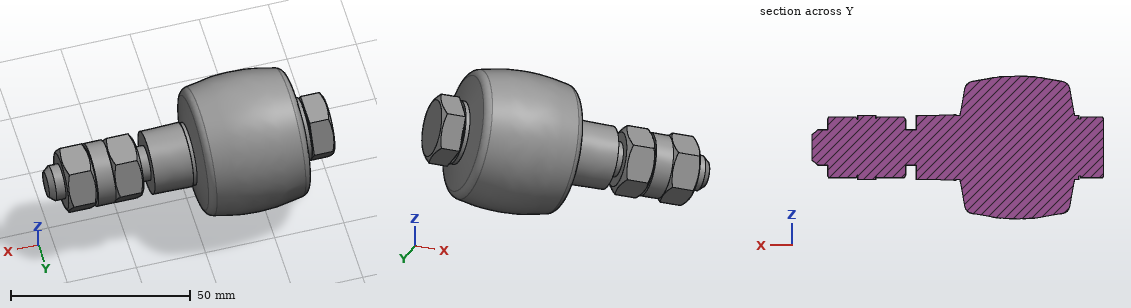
import cadquery as cq
import math


total_length = 81.4
shaft_dia = 10.0
tip_dia = 7.25
tip_chamfer_length = 1.7

across_flats = 17.0
hex_face_dia = 16.0
nut_near_face_dia = 15.5
hex_chamfer_angle = 30.0
head_height = 6.4
nut_height = 8.4

bearing_face_length = 0.45
collar_dia = 18.0
washer_thickness = 5.05

roller_start = 8.05
roller_width = 32.1
roller_crown_dia = 40.0
roller_rim_dia = 36.0
roller_rim_fillet = 2.5
roller_side_angle = 10.0

sleeve_start = 41.2
sleeve_length = 11.15
sleeve_taper_angle = 1.2

first_nut_start = 55.2
washer_start = first_nut_start + nut_height
second_nut_start = washer_start + washer_thickness


def rise(run, angle):
    """Side opposite the angle (degrees) in a right triangle with the given adjacent side."""
    return run * math.tan(math.radians(angle))


def disc(start, length, diameter):
    """Cylinder on the X axis."""
    return cq.Workplane("YZ", origin=(start, 0, 0)).circle(diameter / 2).extrude(length)


def revolve_about_x(profile):
    """Turn an outline drawn in the XY plane around the X axis."""
    return profile.close().revolve(360, (0, 0, 0), (1, 0, 0))


def chamfer_cone(face_position, direction, face_dia, height):
    """Solid widening from a hexagon's end face; direction is +1 or -1 along X, into the hexagon."""
    face_radius = face_dia / 2
    outer_radius = across_flats
    cone_length = rise(outer_radius - face_radius, hex_chamfer_angle)
    cone_end = face_position + direction * cone_length
    envelope_end = cone_end + direction * height
    profile = (
        cq.Workplane("XY")
        .moveTo(face_position, 0)
        .lineTo(face_position, face_radius)
        .lineTo(cone_end, outer_radius)
        .lineTo(envelope_end, outer_radius)
        .lineTo(envelope_end, 0)
    )
    return revolve_about_x(profile)


def hexagon(start, height, near_face_dia, chamfer_far_end):
    """Hexagonal prism with conical corner chamfers on its near end and optionally its far end."""
    across_corners = across_flats / math.cos(math.pi / 6)
    prism = (
        cq.Workplane("YZ", origin=(start, 0, 0))
        .polygon(6, across_corners)
        .extrude(height)
    )
    prism = prism.intersect(chamfer_cone(start, 1, near_face_dia, height))
    if chamfer_far_end:
        prism = prism.intersect(chamfer_cone(start + height, -1, hex_face_dia, height))
    return prism


def bolt_shaft():
    """Shaft from the head to the chamfered tip."""
    profile = (
        cq.Workplane("XY")
        .moveTo(head_height, 0)
        .lineTo(head_height, shaft_dia / 2)
        .lineTo(total_length - tip_chamfer_length, shaft_dia / 2)
        .lineTo(total_length, tip_dia / 2)
        .lineTo(total_length, 0)
    )
    return revolve_about_x(profile)


def roller():
    """Crowned roller with conical sides and rounded rims."""
    roller_end = roller_start + roller_width
    roller_middle = roller_start + roller_width / 2
    hub_radius = collar_dia / 2
    rim_radius = roller_rim_dia / 2
    side_run = rise(rim_radius - hub_radius, roller_side_angle)
    profile = (
        cq.Workplane("XY")
        .moveTo(roller_start, 0)
        .lineTo(roller_start, hub_radius)
        .lineTo(roller_start + side_run, rim_radius)
        .threePointArc((roller_middle, roller_crown_dia / 2), (roller_end - side_run, rim_radius))
        .lineTo(roller_end, hub_radius)
        .lineTo(roller_end, 0)
    )
    rims = cq.selectors.RadiusNthSelector(-2)
    return revolve_about_x(profile).edges("%CIRCLE").edges(rims).fillet(roller_rim_fillet)


def sleeve():
    """Sleeve tapering from a small step down to the collar diameter."""
    sleeve_end = sleeve_start + sleeve_length
    end_radius = collar_dia / 2
    profile = (
        cq.Workplane("XY")
        .moveTo(sleeve_start, 0)
        .lineTo(sleeve_start, end_radius + rise(sleeve_length, sleeve_taper_angle))
        .lineTo(sleeve_end, end_radius)
        .lineTo(sleeve_end, 0)
    )
    return revolve_about_x(profile)


collar_start = head_height + bearing_face_length

result = (
    hexagon(0, head_height, hex_face_dia, chamfer_far_end=False)
    .union(bolt_shaft())
    .union(disc(head_height, bearing_face_length, hex_face_dia))
    .union(disc(collar_start, sleeve_start - collar_start, collar_dia))
    .union(roller())
    .union(sleeve())
    .union(hexagon(first_nut_start, nut_height, nut_near_face_dia, chamfer_far_end=True))
    .union(disc(washer_start, washer_thickness, collar_dia))
    .union(hexagon(second_nut_start, nut_height, nut_near_face_dia, chamfer_far_end=True))
)